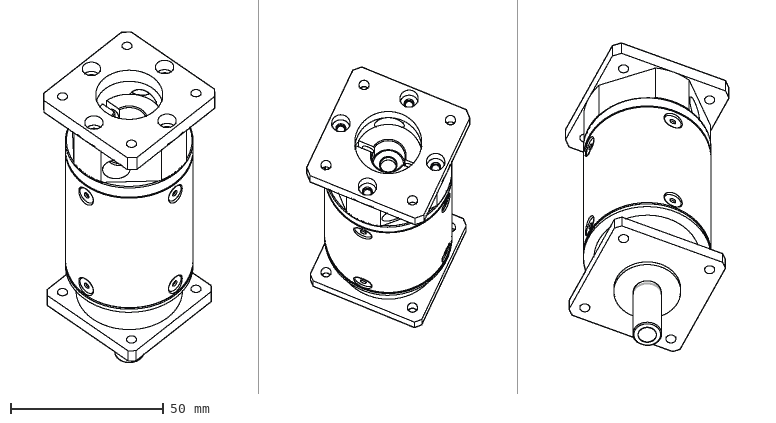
import cadquery as cq
import math

TOTAL_HEIGHT = 125.2
BOSS_BOTTOM = 24.0
MOUNT_FLANGE_BOTTOM = 25.5
MOUNT_FLANGE_TOP = 30.4
BARREL_BOTTOM = 42.5
LOWER_GROOVE_Z = 44.4
UPPER_GROOVE_Z = 98.0
BARREL_TOP = 103.1
PLATE_THICKNESS = 5.8
PLATE_BOTTOM = TOTAL_HEIGHT - PLATE_THICKNESS

PLATE_WIDTH = 42.0
PLATE_CORNER_CHAMFER = 2.3
MOUNT_FLANGE_WIDTH = 40.0
MOUNT_FLANGE_CORNER_RADIUS = 27.0
BARREL_RADIUS = PLATE_WIDTH / 2
BARREL_EDGE_CHAMFER = 0.4
GROOVE_DEPTH = 0.3
LOWER_GROOVE_WIDTH = 0.8
UPPER_GROOVE_WIDTH = 0.4
OUTPUT_NECK_RADIUS = 17.5
BOSS_RADIUS = 11.0
INPUT_FLAT_DISTANCE = 18.5

MOTOR_PILOT_RADIUS = 11.0
MOTOR_PILOT_DEPTH = 5.4
MOTOR_PILOT_BOTTOM = TOTAL_HEIGHT - MOTOR_PILOT_DEPTH
CAVITY_RADIUS = 13.4
CAVITY_BOTTOM = BARREL_TOP

CORNER_HOLE_RADIUS = 1.6
CORNER_HOLE_OFFSET = 15.5

PLATE_SCREW_CIRCLE_RADIUS = 17.0
PLATE_SCREW_HEAD_RADIUS = 3.0
PLATE_SCREW_HEAD_DEPTH = 4.5
PLATE_SCREW_HOLE_RADIUS = 1.6
PLATE_THREAD_RADIUS = 1.3
PLATE_THREAD_DEPTH = 7.5
DRILL_TIP_HEIGHT = PLATE_THREAD_RADIUS / math.tan(math.radians(59))

ACCESS_HOLE_RADIUS = 4.5
ACCESS_HOLE_OFFSET = 4.9
ACCESS_HOLE_Z = 109.3

PLUG_HEIGHTS = (48.9, 92.6)
PLUG_SEAT_OUTER_RADIUS = 3.6
PLUG_SEAT_FLOOR_RADIUS = 3.0
PLUG_SEAT_DEPTH = 0.5
PLUG_SOCKET_RADIUS = 1.0
PLUG_SOCKET_DEPTH = 0.6

SHAFT_RADIUS = 4.8
SHAFT_END_CHAMFER = 0.4
SHAFT_TIP_RADIUS = 3.0
SHAFT_TIP_HEIGHT = 0.3
SHAFT_NECK_RADIUS = 4.6
SHAFT_NECK_BOTTOM = 22.5
SHAFT_NECK_TOP = 23.7
SHAFT_ROOT_RADIUS = 4.4
SHAFT_SHOULDER_Z = 21.8
SHAFT_FLAT_DISTANCE = 4.4
SHAFT_FLAT_LENGTH = 19.0

HUB_RADIUS = 11.1
HUB_TOP = 113.4
HUB_BORE_RADIUS = 5.5
HUB_BORE_CHAMFER = 0.4
HUB_BORE_BOTTOM = 105.1
HUB_BORE_RIM_HEIGHT = 0.5
HUB_BORE_FLOOR_RADIUS = 5.0
HUB_CENTRE_HOLE_RADIUS = 2.6
HUB_CENTRE_HOLE_CHAMFER = 0.3
HUB_SLOT_WIDTH = 2.0
CLAMP_SCREW_RADIUS = 2.0
CLAMP_SCREW_OFFSET = 7.6
CLAMP_SCREW_Z = ACCESS_HOLE_Z


def cylinder(radius, bottom, top):
    """Upright cylinder on the gearbox axis."""
    return cq.Workplane("XY").workplane(offset=bottom).circle(radius).extrude(top - bottom)


def square_block(width, bottom, top):
    """Square plate centred on the gearbox axis."""
    return cq.Workplane("XY").workplane(offset=bottom).rect(width, width).extrude(top - bottom)


def motor_plate():
    """Square plate at the input end with chamfered corners."""
    return square_block(PLATE_WIDTH, PLATE_BOTTOM, TOTAL_HEIGHT).edges("|Z").chamfer(PLATE_CORNER_CHAMFER)


def mount_flange():
    """Square flange at the output end with its corners turned to a common radius."""
    square = square_block(MOUNT_FLANGE_WIDTH, MOUNT_FLANGE_BOTTOM, MOUNT_FLANGE_TOP)
    return square.intersect(cylinder(MOUNT_FLANGE_CORNER_RADIUS, MOUNT_FLANGE_BOTTOM, MOUNT_FLANGE_TOP))


def barrel_groove(centre_z, width):
    """Shallow V-shaped ring around the barrel."""
    return (
        cq.Workplane("XZ")
        .moveTo(BARREL_RADIUS, centre_z - width / 2)
        .lineTo(BARREL_RADIUS, centre_z + width / 2)
        .lineTo(BARREL_RADIUS - GROOVE_DEPTH, centre_z)
        .close()
        .revolve(360, (0, 0), (0, 1))
    )


def input_neck():
    """Round neck under the motor plate with four flats on the diagonals."""
    flats = square_block(2 * INPUT_FLAT_DISTANCE, BARREL_TOP, PLATE_BOTTOM).rotate((0, 0, 0), (0, 0, 1), 45)
    return cylinder(BARREL_RADIUS, BARREL_TOP, PLATE_BOTTOM).intersect(flats)


def corner_holes(bottom, top):
    """Four upright holes near the corners of a square flange."""
    spacing = 2 * CORNER_HOLE_OFFSET
    plane = cq.Workplane("XY").workplane(offset=bottom)
    centres = plane.rect(spacing, spacing, forConstruction=True).vertices()
    return centres.circle(CORNER_HOLE_RADIUS).extrude(top - bottom)


def plate_screw_hole():
    """Counterbored, drilled hole in the motor plate, at +X."""
    head_floor = TOTAL_HEIGHT - PLATE_SCREW_HEAD_DEPTH
    thread_bottom = PLATE_BOTTOM - PLATE_THREAD_DEPTH
    profile = (
        cq.Workplane("XZ")
        .moveTo(0, TOTAL_HEIGHT)
        .lineTo(PLATE_SCREW_HEAD_RADIUS, TOTAL_HEIGHT)
        .lineTo(PLATE_SCREW_HEAD_RADIUS, head_floor)
        .lineTo(PLATE_SCREW_HOLE_RADIUS, head_floor)
        .lineTo(PLATE_SCREW_HOLE_RADIUS, PLATE_BOTTOM)
        .lineTo(PLATE_THREAD_RADIUS, PLATE_BOTTOM)
        .lineTo(PLATE_THREAD_RADIUS, thread_bottom)
        .lineTo(0, thread_bottom - DRILL_TIP_HEIGHT)
        .close()
    )
    return profile.revolve(360, (0, 0), (0, 1)).translate((PLATE_SCREW_CIRCLE_RADIUS, 0, 0))


def access_hole():
    """Hole through one diagonal flat of the input neck into the hub cavity."""
    hole = cq.Workplane("YZ").center(-ACCESS_HOLE_OFFSET, ACCESS_HOLE_Z).circle(ACCESS_HOLE_RADIUS)
    return hole.extrude(BARREL_RADIUS).rotate((0, 0, 0), (0, 0, 1), -45)


def plug_recess(height):
    """Conical seat with a small round socket in the barrel wall, at +X."""
    seat_floor = BARREL_RADIUS - PLUG_SEAT_DEPTH
    socket_floor = seat_floor - PLUG_SOCKET_DEPTH
    profile = (
        cq.Workplane("XY")
        .moveTo(socket_floor, 0)
        .lineTo(socket_floor, PLUG_SOCKET_RADIUS)
        .lineTo(seat_floor, PLUG_SOCKET_RADIUS)
        .lineTo(seat_floor, PLUG_SEAT_FLOOR_RADIUS)
        .lineTo(BARREL_RADIUS, PLUG_SEAT_OUTER_RADIUS)
        .lineTo(BARREL_RADIUS, 0)
        .close()
    )
    return profile.revolve(360, (0, 0), (1, 0)).translate((0, 0, height))


def make_housing():
    barrel = cylinder(BARREL_RADIUS, BARREL_BOTTOM, BARREL_TOP).faces(">Z").chamfer(BARREL_EDGE_CHAMFER)
    housing = (
        cylinder(BOSS_RADIUS, BOSS_BOTTOM, MOUNT_FLANGE_BOTTOM)
        .union(mount_flange())
        .union(cylinder(OUTPUT_NECK_RADIUS, MOUNT_FLANGE_TOP, BARREL_BOTTOM))
        .union(barrel)
        .union(input_neck())
        .union(motor_plate())
    )
    housing = housing.cut(barrel_groove(LOWER_GROOVE_Z, LOWER_GROOVE_WIDTH))
    housing = housing.cut(barrel_groove(UPPER_GROOVE_Z, UPPER_GROOVE_WIDTH))
    housing = housing.cut(cylinder(CAVITY_RADIUS, CAVITY_BOTTOM, MOTOR_PILOT_BOTTOM))
    housing = housing.cut(cylinder(MOTOR_PILOT_RADIUS, MOTOR_PILOT_BOTTOM, TOTAL_HEIGHT))
    housing = housing.cut(corner_holes(MOUNT_FLANGE_BOTTOM, MOUNT_FLANGE_TOP))
    housing = housing.cut(corner_holes(PLATE_BOTTOM, TOTAL_HEIGHT))
    for angle in (0, 90, 180, 270):
        cutters = [plate_screw_hole()] + [plug_recess(height) for height in PLUG_HEIGHTS]
        for cutter in cutters:
            housing = housing.cut(cutter.rotate((0, 0, 0), (0, 0, 1), angle))
    for angle in (0, 180):
        housing = housing.cut(access_hole().rotate((0, 0, 0), (0, 0, 1), angle))
    return housing


def make_shaft():
    shaft = (
        cq.Workplane("XZ")
        .moveTo(0, 0)
        .lineTo(SHAFT_TIP_RADIUS, 0)
        .lineTo(SHAFT_TIP_RADIUS, SHAFT_TIP_HEIGHT)
        .lineTo(SHAFT_RADIUS - SHAFT_END_CHAMFER, SHAFT_TIP_HEIGHT)
        .lineTo(SHAFT_RADIUS, SHAFT_TIP_HEIGHT + SHAFT_END_CHAMFER)
        .lineTo(SHAFT_RADIUS, SHAFT_SHOULDER_Z)
        .lineTo(SHAFT_NECK_RADIUS, SHAFT_NECK_BOTTOM)
        .lineTo(SHAFT_NECK_RADIUS, SHAFT_NECK_TOP)
        .lineTo(SHAFT_ROOT_RADIUS, BOSS_BOTTOM)
        .lineTo(0, BOSS_BOTTOM)
        .close()
        .revolve(360, (0, 0), (0, 1))
    )
    beyond_flat = cq.Workplane("XY").center(0, SHAFT_FLAT_DISTANCE + SHAFT_RADIUS / 2)
    return shaft.cut(beyond_flat.rect(2 * SHAFT_RADIUS, SHAFT_RADIUS).extrude(SHAFT_FLAT_LENGTH))


def hub_bore():
    """Chamfered bore whose floor has a sloping rim and a chamfered centre hole."""
    floor = HUB_BORE_BOTTOM + HUB_BORE_RIM_HEIGHT
    return (
        cq.Workplane("XZ")
        .moveTo(0, HUB_TOP)
        .lineTo(HUB_BORE_RADIUS + HUB_BORE_CHAMFER, HUB_TOP)
        .lineTo(HUB_BORE_RADIUS, HUB_TOP - HUB_BORE_CHAMFER)
        .lineTo(HUB_BORE_RADIUS, HUB_BORE_BOTTOM)
        .lineTo(HUB_BORE_FLOOR_RADIUS, floor)
        .lineTo(HUB_CENTRE_HOLE_RADIUS + HUB_CENTRE_HOLE_CHAMFER, floor)
        .lineTo(HUB_CENTRE_HOLE_RADIUS, floor - HUB_CENTRE_HOLE_CHAMFER)
        .lineTo(HUB_CENTRE_HOLE_RADIUS, CAVITY_BOTTOM)
        .lineTo(0, CAVITY_BOTTOM)
        .close()
        .revolve(360, (0, 0), (0, 1))
    )


def hub_slot():
    """Two slits, one on each side of the bore, that let the hub clamp."""
    slot = cq.Workplane("XY").workplane(offset=HUB_BORE_BOTTOM).rect(2 * HUB_RADIUS, HUB_SLOT_WIDTH)
    return slot.extrude(HUB_TOP - HUB_BORE_BOTTOM).cut(cylinder(HUB_BORE_RADIUS, HUB_BORE_BOTTOM, HUB_TOP))


def clamp_screw(side):
    """Shank of a clamping screw where it bridges the slit; part of the hub."""
    shank = cq.Workplane("XZ").center(side * CLAMP_SCREW_OFFSET, CLAMP_SCREW_Z).circle(CLAMP_SCREW_RADIUS)
    return shank.extrude(HUB_SLOT_WIDTH / 2, both=True)


def make_hub():
    hub = cylinder(HUB_RADIUS, CAVITY_BOTTOM, HUB_TOP).cut(hub_bore()).cut(hub_slot())
    for side in (-1, 1):
        hub = hub.union(clamp_screw(side))
    return hub


housing = make_housing().solids()
shaft = make_shaft().solids()
hub = make_hub().solids()
result = cq.Compound.makeCompound([housing.val(), shaft.val(), hub.val()])